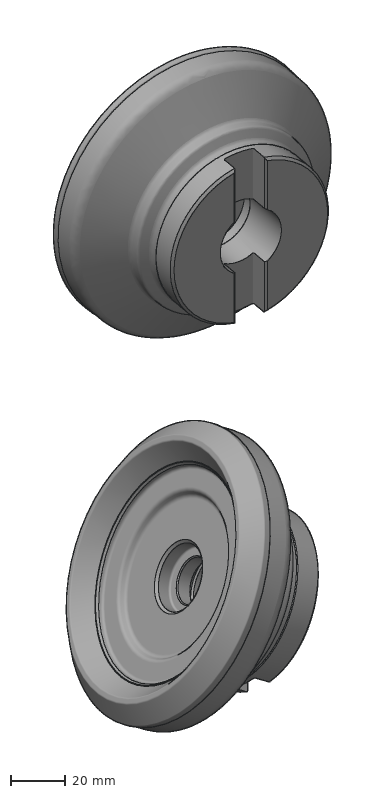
import cadquery as cq


rim_radius = 57.8
rim_back = 9.2
rim_land_outer = 50.8
rim_land_inner = 48.6
rim_land_round = 0.9
rim_shoulder = 6.5
rim_edge_round = 0.7
rim_inner_radius = 42.5
lip_front = 6.9

seat_radius = 46.2
rim_step = 0.3

hub_length = 50.8
web_radius = rim_radius - rim_step
web_back = 19.3
web_corner_round = 4.4
neck_radius = 39.3
neck_cone_foot = 30.3
neck_foot_round = 1.8
neck_back = 34.8
neck_corner_round = 1.4
collar_radius = 34.7
step_cone_foot = 37.3
collar_foot_round = 1.8
spigot_radius = 35.0
spigot_front = 40.0
spigot_lead = 0.3
spigot_chamfer = 1.0

lip_radius = rim_inner_radius - rim_step
lip_bevel_back = 7.9
pocket_mouth_radius = 41.5
pocket_foot_radius = 40.9
pocket_floor = 9.6
pocket_foot_round = 1.3
well_top_radius = 32.2
well_foot_radius = 30.5
well_floor = 12.1
well_round = 1.8
counterbore_radius = 13.0
counterbore_chamfer = 1.0
counterbore_floor = 18.7
counterbore_foot_round = 0.8
bore_radius = 9.0
bore_chamfer = 0.5
socket_radius = 13.5
socket_floor = 25.2
relief_depth = 0.7
relief_radius = socket_radius + relief_depth
relief_back = 30.0

slot_width = 13.0
slot_floor = 42.7
slot_foot_round = 0.5
slot_mouth_chamfer = 0.8

match_tolerance = 0.01


def revolve_about_x(outline):
    """Turn a closed outline of (x, radius) points about the X axis."""
    return cq.Workplane("XZ").polyline(outline).close().revolve(360, (0, 0, 0), (1, 0, 0))


def round_edges(body, rounds):
    """Fillet circular edges, each given as (x, radius of the edge, fillet radius)."""
    for x, radius, size in rounds:
        edge = body.edges("%CIRCLE").filter(
            lambda e: abs(e.Center().x - x) < match_tolerance and abs(e.radius() - radius) < match_tolerance
        )
        body = edge.fillet(size)
    return body


def make_rim():
    rim = revolve_about_x([
        (0, rim_land_inner),
        (0, rim_land_outer),
        (rim_shoulder, rim_radius),
        (rim_back, rim_radius),
        (rim_back, seat_radius),
        (lip_front, seat_radius),
        (lip_front, rim_inner_radius),
    ])
    return round_edges(rim, [
        (0, rim_land_inner, rim_land_round),
        (0, rim_land_outer, rim_land_round),
        (rim_shoulder, rim_radius, rim_edge_round),
        (rim_back, rim_radius, rim_edge_round),
    ])


def make_hub():
    hub = revolve_about_x([
        (lip_front, lip_radius),
        (lip_front, seat_radius),
        (rim_back, seat_radius),
        (rim_back, web_radius),
        (web_back, web_radius),
        (neck_cone_foot, neck_radius),
        (neck_back, neck_radius),
        (step_cone_foot, collar_radius),
        (spigot_front, collar_radius),
        (spigot_front + spigot_lead, spigot_radius),
        (hub_length - spigot_chamfer, spigot_radius),
        (hub_length, spigot_radius - spigot_chamfer),
        (hub_length, socket_radius),
        (relief_back, socket_radius),
        (relief_back - relief_depth, relief_radius),
        (socket_floor, relief_radius),
        (socket_floor, bore_radius + bore_chamfer),
        (socket_floor - bore_chamfer, bore_radius),
        (counterbore_floor + bore_chamfer, bore_radius),
        (counterbore_floor, bore_radius + bore_chamfer),
        (counterbore_floor, counterbore_radius),
        (well_floor + counterbore_chamfer, counterbore_radius),
        (well_floor, counterbore_radius + counterbore_chamfer),
        (well_floor, well_foot_radius),
        (pocket_floor, well_top_radius),
        (pocket_floor, pocket_foot_radius),
        (lip_bevel_back, pocket_mouth_radius),
    ])
    hub = round_edges(hub, [
        (web_back, web_radius, web_corner_round),
        (neck_cone_foot, neck_radius, neck_foot_round),
        (neck_back, neck_radius, neck_corner_round),
        (step_cone_foot, collar_radius, collar_foot_round),
        (pocket_floor, pocket_foot_radius, pocket_foot_round),
        (pocket_floor, well_top_radius, well_round),
        (well_floor, well_foot_radius, well_round),
        (counterbore_floor, counterbore_radius, counterbore_foot_round),
    ])
    return hub.cut(drive_slot())


def drive_slot():
    half = slot_width / 2
    slot = (
        cq.Workplane("XY")
        .polyline([
            (slot_floor, -half),
            (hub_length - slot_mouth_chamfer, -half),
            (hub_length, -half - slot_mouth_chamfer),
            (hub_length, half + slot_mouth_chamfer),
            (hub_length - slot_mouth_chamfer, half),
            (slot_floor, half),
        ])
        .close()
        .extrude(rim_radius, both=True)
    )
    return slot.edges("|Z and <X").fillet(slot_foot_round)


rim = make_rim()
hub = make_hub()
result = cq.Compound.makeCompound([rim.val(), hub.val()])